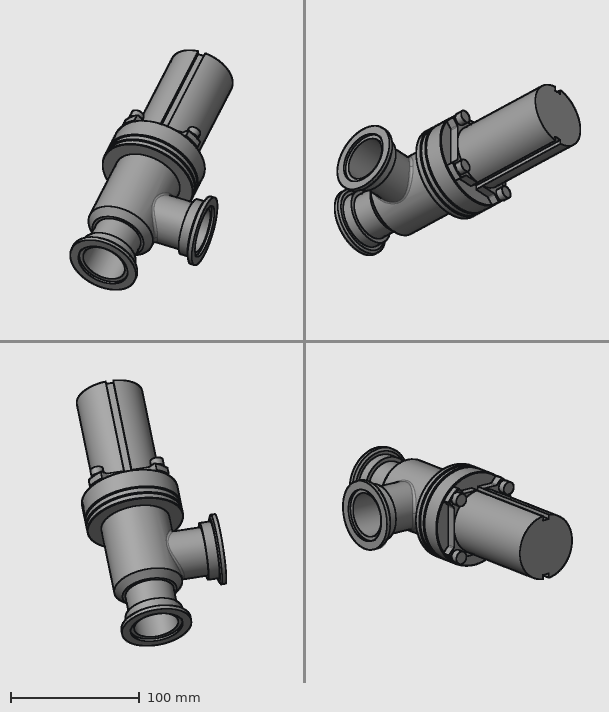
import cadquery as cq
import math

overall_length = 210.2
overall_width = 99.0
flange_diameter = 75.9

fitting_radius = 27.5
fitting_rim = 3.4
fitting_cone_end = 4.6
fitting_cone_radius = 25.2
hub_radius = 22.5
hub_end = 13.0
pipe_radius = 19.1
bore_radius = 17.5
recess_radius = 20.5
recess_depth = 2.0

body_diameter = 54.0
body_radius = body_diameter / 2
shoulder_start = 32.0
shoulder_radius = 21.5
outlet_y = 61.0
weld_fillet = 2.0

flange_radius = flange_diameter / 2
flange_start = 95.0
flange_end = 121.3
flange_chamfer = 0.6
flange_base_chamfer = 0.5
groove_depth = 0.6
groove_width = 0.8
groove_positions = [100.0, 105.3]

port_radius = 5.3
port_y = 114.5
port_depth = 10.5
drill_point_angle = 118.0

housing_radius = 26.0
slot_width = 5.9
slot_depth = 3.8

plate_end = 128.2
plate_half_width = housing_radius
lobe_width = 13.7
lobe_end_chamfer = 0.6
lobe_fillet = 1.5
bolt_circle_radius = 33.5
bolt_radius = 5.0
bolt_end = 134.3
lobe_angles = [45, 135, 225, 315]

clearance = 0.2

outlet_face_x = overall_width - flange_radius
bore_end = outlet_y + bore_radius


def cylinder_y(radius, start, end):
    """Cylinder on the valve axis between two Y positions."""
    return cq.Workplane("XZ", origin=(0, start, 0)).circle(radius).extrude(start - end)


def fitting(length):
    """Clamp fitting and its pipe, with the sealing face at y = 0 and the pipe along +Y."""
    return (
        cq.Workplane("XY")
        .moveTo(0, 0)
        .lineTo(fitting_radius, 0)
        .lineTo(fitting_radius, fitting_rim)
        .lineTo(fitting_cone_radius, fitting_cone_end)
        .lineTo(hub_radius, fitting_cone_end)
        .lineTo(hub_radius, hub_end)
        .lineTo(pipe_radius, hub_end)
        .lineTo(pipe_radius, length)
        .lineTo(0, length)
        .close()
        .revolve(360, (0, 0, 0), (0, 1, 0))
    )


def passage(length):
    """Bore and seal recess of a fitting, from its sealing face along +Y."""
    return cylinder_y(bore_radius, 0, length).union(cylinder_y(recess_radius, 0, recess_depth))


def to_outlet(shape):
    """Move a shape from the inlet position to the outlet, facing +X."""
    return shape.rotate((0, 0, 0), (0, 0, 1), 90).translate((outlet_face_x, outlet_y, 0))


def valve_body():
    shoulder_height = body_radius - shoulder_radius
    body = cylinder_y(body_radius, shoulder_start, flange_start)
    body = body.faces("<Y").chamfer(shoulder_height)
    body = body.union(to_outlet(fitting(outlet_face_x)))
    seam_reach = pipe_radius + clearance
    seam_box = cq.selectors.BoxSelector(
        (clearance, outlet_y - seam_reach, -seam_reach),
        (body_radius + clearance, outlet_y + seam_reach, seam_reach),
        boundingbox=True,
    )
    body = body.edges(seam_box).fillet(weld_fillet)
    return body.union(fitting(shoulder_start))


def bolted_flange():
    flange = cylinder_y(flange_radius, flange_start, flange_end)
    flange = flange.faces(">Y").chamfer(flange_chamfer).faces("<Y").chamfer(flange_base_chamfer)
    for groove_y in groove_positions:
        groove_start = groove_y - groove_width / 2
        groove_end = groove_y + groove_width / 2
        ring = cylinder_y(flange_radius + clearance, groove_start, groove_end)
        ring = ring.cut(cylinder_y(flange_radius - groove_depth, groove_start, groove_end))
        flange = flange.cut(ring)
    return flange


def bolt_plate():
    thickness = plate_end - flange_end
    plate = cq.Workplane("XY").box(2 * plate_half_width, thickness, 2 * plate_half_width)
    plate = plate.edges("|Y").chamfer(lobe_width / 2)
    disc = cylinder_y(flange_radius, -thickness / 2, thickness / 2)
    disc = disc.faces("|Y").chamfer(lobe_end_chamfer)
    lobe = cq.Workplane("XY").box(flange_radius, thickness, lobe_width)
    lobe = lobe.translate((flange_radius / 2, 0, 0)).intersect(disc)
    for angle in lobe_angles:
        plate = plate.union(lobe.rotate((0, 0, 0), (0, 1, 0), angle))
    root_reach = plate_half_width + clearance
    root_box = cq.selectors.BoxSelector(
        (-root_reach, -thickness, -root_reach),
        (root_reach, thickness, root_reach),
    )
    plate = plate.edges("|Y").edges(root_box).fillet(lobe_fillet)
    return plate.translate((0, (flange_end + plate_end) / 2, 0))


def bolts():
    return (
        cq.Workplane("XZ", origin=(0, plate_end, 0))
        .polarArray(bolt_circle_radius, lobe_angles[0], 360, len(lobe_angles))
        .circle(bolt_radius)
        .extrude(plate_end - bolt_end)
    )


def housing_slots():
    """Keyways along the top and bottom of the housing, through the bolt plate to the flange."""
    length = overall_length - flange_end
    slots = cq.Workplane("XY")
    for side in [1, -1]:
        middle_z = side * (housing_radius - slot_depth / 2)
        slot = cq.Workplane("XY").box(slot_width, length, slot_depth)
        slots = slots.add(slot.translate((0, (flange_end + overall_length) / 2, middle_z)))
    return slots.combine()


def radial_port():
    """Blind drilled hole from the -X side, with a conical bottom."""
    point_length = port_radius / math.tan(math.radians(drill_point_angle / 2))
    return (
        cq.Workplane("XY")
        .moveTo(-flange_radius, port_y)
        .lineTo(-flange_radius, port_y + port_radius)
        .lineTo(port_depth - flange_radius, port_y + port_radius)
        .lineTo(port_depth + point_length - flange_radius, port_y)
        .close()
        .revolve(360, (0, port_y, 0), (1, port_y, 0))
    )


result = valve_body().union(bolted_flange()).union(bolt_plate()).union(bolts())
result = result.union(cylinder_y(housing_radius, flange_end, overall_length))
result = result.cut(housing_slots()).cut(radial_port())
result = result.cut(passage(bore_end)).cut(to_outlet(passage(outlet_face_x)))